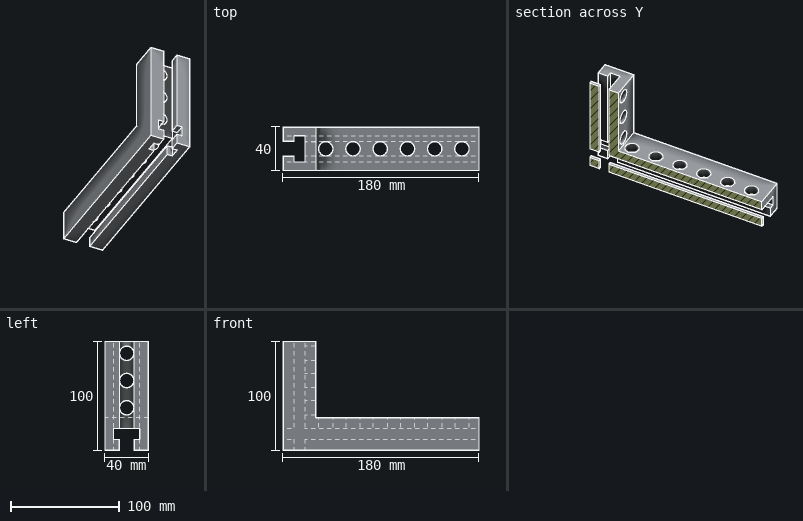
import cadquery as cq

length = 180.0
width = 40.0
height = 100.0
arm_thickness = 30.0

slot_depth = 20.0
lip_thickness = slot_depth / 2
slot_opening = 13.5
slot_width = 24.0

hole_diameter = 13.0
hole_pitch = 25.0
first_hole = 39.0
foot_hole_count = 6
upright_hole_count = 3


def block(x_size, y_size, z_size, x=0.0, z=0.0):
    """Box centred on Y whose lowest X and Z corner is at (x, z)."""
    box = cq.Workplane("XY").box(x_size, y_size, z_size, centered=(False, True, False))
    return box.translate((x, 0, z))


def hole_positions(count):
    """Distances of the holes from the outer corner."""
    return [first_hole + i * hole_pitch for i in range(count)]


foot = block(length, width, arm_thickness)
upright = block(arm_thickness, width, height)
body = foot.union(upright)

foot_slot = block(length, slot_opening, slot_depth).union(
    block(length, slot_width, slot_depth - lip_thickness, z=lip_thickness)
)

upright_slot = block(slot_depth, slot_opening, height).union(
    block(slot_depth - lip_thickness, slot_width, height, x=lip_thickness)
)

foot_holes = (
    cq.Workplane("XY")
    .pushPoints([(x, 0) for x in hole_positions(foot_hole_count)])
    .circle(hole_diameter / 2)
    .extrude(arm_thickness)
)
upright_holes = (
    cq.Workplane("YZ")
    .pushPoints([(0, z) for z in hole_positions(upright_hole_count)])
    .circle(hole_diameter / 2)
    .extrude(arm_thickness)
)

result = body.cut(foot_slot).cut(upright_slot).cut(foot_holes).cut(upright_holes)